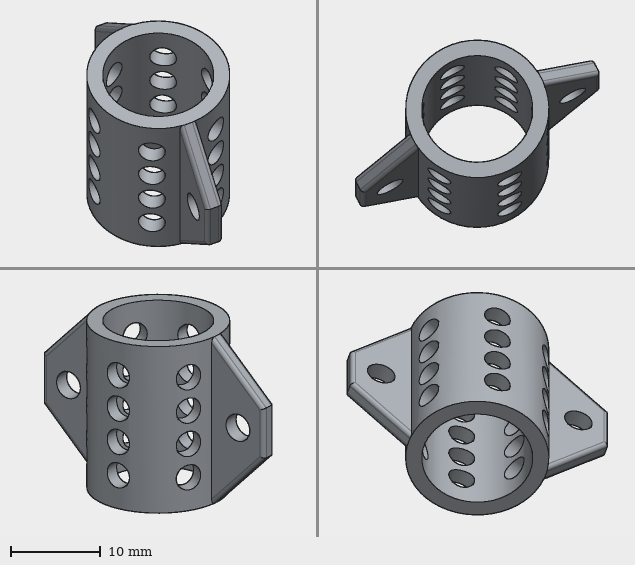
import cadquery as cq

length = 30.0
height = length * 2 / 3
outer_diameter = length * 8 / 15
bore_diameter = 12.4

radial_hole_diameter = 3.0
radial_hole_rows = 4
row_pitch = height / (radial_hole_rows + 1)
holes_per_row = 6
hole_angle_step = 360 / holes_per_row
first_hole_angle = hole_angle_step / 2

ear_thickness = height / 10
ear_edge_radius = ear_thickness / 4
ear_hole_diameter = 3.2
ear_hole_offset = 11.5
ear_tip_half_height = height / 2 - (length - outer_diameter) / 2


def make_ears():
    """Plate spanning both ears, rounded on its rim and trimmed to the tube height."""
    tip_x = length / 2
    apex_z = ear_tip_half_height + tip_x
    outline = [
        (-tip_x, -ear_tip_half_height),
        (0, -apex_z),
        (tip_x, -ear_tip_half_height),
        (tip_x, ear_tip_half_height),
        (0, apex_z),
        (-tip_x, ear_tip_half_height),
    ]
    plate = (
        cq.Workplane("XZ")
        .polyline(outline)
        .close()
        .extrude(ear_thickness / 2, both=True)
        .faces("<Y or >Y")
        .edges()
        .fillet(ear_edge_radius)
    )
    return plate.intersect(cq.Workplane("XY").box(length, ear_thickness, height))


def make_radial_holes():
    """Cutters for every hole, each reaching from the tube axis past the outer wall."""
    cutters = cq.Workplane("XY")
    for row in range(radial_hole_rows):
        z = (row - (radial_hole_rows - 1) / 2) * row_pitch
        drill = (
            cq.Workplane("YZ")
            .center(0, z)
            .circle(radial_hole_diameter / 2)
            .extrude(outer_diameter)
        )
        for index in range(holes_per_row):
            angle = first_hole_angle + index * hole_angle_step
            cutters = cutters.add(drill.rotate((0, 0, 0), (0, 0, 1), angle))
    return cutters.combine()


tube = cq.Workplane("XY").circle(outer_diameter / 2).extrude(height / 2, both=True)
bore = cq.Workplane("XY").circle(bore_diameter / 2).extrude(height / 2, both=True)
ear_holes = (
    cq.Workplane("XZ", origin=(0, ear_thickness, 0))
    .pushPoints([(-ear_hole_offset, 0), (ear_hole_offset, 0)])
    .circle(ear_hole_diameter / 2)
    .extrude(2 * ear_thickness)
)

result = tube.union(make_ears()).cut(bore).cut(ear_holes).cut(make_radial_holes())